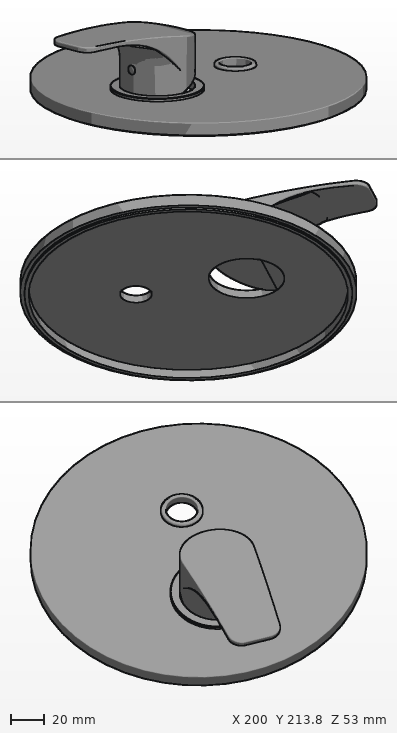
import cadquery as cq
import math

plate_dia = 200.0
plate_top = 9.0
sheet_thick = 3.5
skirt_thick = 5.1
plate_edge_round = 0.6
lip_inset = 2.5
lip_height = 1.3

collar_rad = 28.0
collar_height = 2.0
collar_chamfer = 0.5

ring_y = 32.3
ring_rad = 12.6
ring_height = 2.0
ring_round = 1.5
bore_rad = 9.5
bore_round = 0.6

overall_length = 213.8
overall_height = 53.0
handle_y = -36.0
stem_rad = 22.5
tip_half_width = 15.5
tip_corner_rad = 8.5
tip_thick = 3.5
top_arc_rad = 436.2
lever_edge_round = 0.9
blend_inset = 0.9
blend_drop = 2.1
heel_z = 21.5
heel_slope = 0.44

button_rad = 2.8
button_z = 25.2
button_rim_rise = 0.1
button_dome_rise = 0.2

plate_rad = plate_dia / 2
sheet_bottom = plate_top - sheet_thick
collar_top = plate_top + collar_height
ring_top = plate_top + ring_height
tip_y = plate_rad - overall_length
tip_bottom = overall_height - tip_thick
stem_back_y = handle_y + stem_rad
stem_front_y = handle_y - stem_rad

margin = 2.1
tool_half_width = stem_rad + margin

side_start = (-37.8, 22.0)
side_curve = [(-45.3, 31.5), (-54.3, 39.0), (-67.3, 45.5), (-81.9, 48.7), (tip_y, tip_bottom)]

flare_start = (stem_rad, 29.3)
flare_curve = [(31.5, 42.3), (43.8, 46.8), (77, 50.0)]


def disc(radius, z0, z1, y=0):
    """Upright cylinder from z0 to z1 with its axis at X = 0 and the given Y."""
    return cq.Workplane("XY", origin=(0, y, z0)).circle(radius).extrude(z1 - z0)


def side_plane():
    """YZ plane from which a tool can be extruded across the whole handle."""
    return cq.Workplane("YZ", origin=(-tool_half_width, 0, 0))


def make_dish():
    rim = disc(plate_rad, lip_height, plate_top).faces(">Z").edges().fillet(plate_edge_round)
    lip = disc(plate_rad - lip_inset, 0, lip_height)
    hollow = disc(plate_rad - skirt_thick, 0, sheet_bottom)
    return rim.union(lip).cut(hollow)


def make_collar():
    collar = disc(collar_rad, sheet_bottom, collar_top, handle_y)
    return collar.faces(">Z").edges().chamfer(collar_chamfer)


def make_ring():
    ring = disc(ring_rad, sheet_bottom, ring_top, ring_y).faces(">Z").edges().fillet(ring_round)
    ring = ring.cut(disc(bore_rad, sheet_bottom, ring_top, ring_y))
    inner_edge = cq.selectors.RadiusNthSelector(0)
    return ring.faces(">Z").edges(inner_edge).fillet(bore_round)


def make_plate():
    ring_seat = disc(bore_rad, sheet_bottom, plate_top, ring_y)
    stem_hole = disc(stem_rad, sheet_bottom, collar_top, handle_y)
    plate = make_dish().cut(ring_seat).union(make_ring())
    return plate.union(make_collar()).cut(stem_hole)


def handle_outline():
    """Plan of the handle: the stem circle with sides that leave it at a tangent and run to the tip."""
    reach = handle_y - tip_y
    tip_corner_dist = math.hypot(tip_half_width, reach)
    tangent_angle = math.acos(stem_rad / tip_corner_dist) - math.atan2(reach, tip_half_width)
    tangent_x = stem_rad * math.cos(tangent_angle)
    tangent_y = handle_y + stem_rad * math.sin(tangent_angle)
    return (
        cq.Workplane("XY")
        .moveTo(tangent_x, tangent_y)
        .threePointArc((0, stem_back_y), (-tangent_x, tangent_y))
        .lineTo(-tip_half_width, tip_y)
        .lineTo(tip_half_width, tip_y)
        .close()
        .extrude(overall_height)
        .edges("|Z and <Y")
        .fillet(tip_corner_rad)
    )


def blend_outline():
    """Plan of the lever, narrowed so that the blend stays inside the rounded lower edges."""
    stem_x = stem_rad - blend_inset
    tip_x = tip_half_width - blend_inset
    end_y = tip_y + tip_corner_rad
    corners = [(-stem_x, handle_y), (-tip_x, end_y), (tip_x, end_y), (stem_x, handle_y)]
    return cq.Workplane("XY").polyline(corners).close().extrude(overall_height)


def top_z(y):
    """Height of the top arc, which is level at the tip."""
    return overall_height - top_arc_rad + math.sqrt(top_arc_rad**2 - (y - tip_y) ** 2)


def below_top(drop=0):
    """Everything from the bottom of the sheet up to the top arc, lowered by the given drop."""
    mid_y = (tip_y + stem_back_y) / 2
    back_y = stem_back_y + margin
    return (
        side_plane()
        .moveTo(tip_y, sheet_bottom)
        .lineTo(tip_y, overall_height - drop)
        .threePointArc((mid_y, top_z(mid_y) - drop), (back_y, top_z(back_y) - drop))
        .lineTo(back_y, sheet_bottom)
        .close()
        .extrude(2 * tool_half_width)
    )


def below_lever():
    """Everything under the hollow curve along the lever's sides, in front of the stem's middle."""
    return (
        side_plane()
        .moveTo(side_start[0], 0)
        .lineTo(*side_start)
        .spline(side_curve, includeCurrent=True)
        .lineTo(tip_y - margin, tip_bottom)
        .lineTo(tip_y - margin, 0)
        .close()
        .extrude(2 * tool_half_width)
    )


def make_lever():
    lever = handle_outline().intersect(below_top()).faces(">Z").edges().fillet(lever_edge_round)
    underside = lever.cut(below_lever()).faces("%EXTRUSION")
    return underside.edges("not >Y").fillet(lever_edge_round)


def make_flare():
    """Blend that opens like a trumpet from the stem into the underside of the lever."""
    flare = (
        cq.Workplane("XZ", origin=(0, handle_y, 0))
        .moveTo(0, flare_start[1])
        .lineTo(*flare_start)
        .spline(flare_curve, tangents=[(0, 1), (1, 0)], includeCurrent=True)
        .lineTo(flare_curve[-1][0], overall_height)
        .lineTo(0, overall_height)
        .close()
        .revolve(360, (0, 0, 0), (0, 1, 0))
    )
    return flare.intersect(blend_outline()).intersect(below_top(blend_drop))


def heel_cut():
    """Wedge that slopes the foot of the stem up towards the back."""
    return (
        side_plane()
        .moveTo(stem_back_y + margin, heel_z + heel_slope * margin)
        .lineTo(stem_back_y + margin, 0)
        .lineTo(stem_back_y - heel_z / heel_slope, 0)
        .close()
        .extrude(2 * tool_half_width)
    )


def make_button():
    """Domed button, turned about the Y axis, with its root inside the stem."""
    rim_y = stem_front_y - button_rim_rise
    apex_y = rim_y - button_dome_rise
    dome_rad = (button_rad**2 + button_dome_rise**2) / (2 * button_dome_rise)
    half_rad = button_rad / 2
    half_y = apex_y + dome_rad - math.sqrt(dome_rad**2 - half_rad**2)
    return (
        cq.Workplane("XY", origin=(0, 0, button_z))
        .moveTo(0, handle_y)
        .lineTo(button_rad, handle_y)
        .lineTo(button_rad, rim_y)
        .threePointArc((half_rad, half_y), (0, apex_y))
        .close()
        .revolve(360, (0, 0, 0), (0, 1, 0))
    )


def make_handle():
    stem = disc(stem_rad, sheet_bottom, overall_height, handle_y).intersect(below_top(blend_drop))
    stem = stem.union(make_button())
    return make_lever().union(make_flare()).union(stem).cut(heel_cut())


plate = make_plate()
handle = make_handle()
result = cq.Compound.makeCompound([plate.solids().val(), handle.solids().val()])